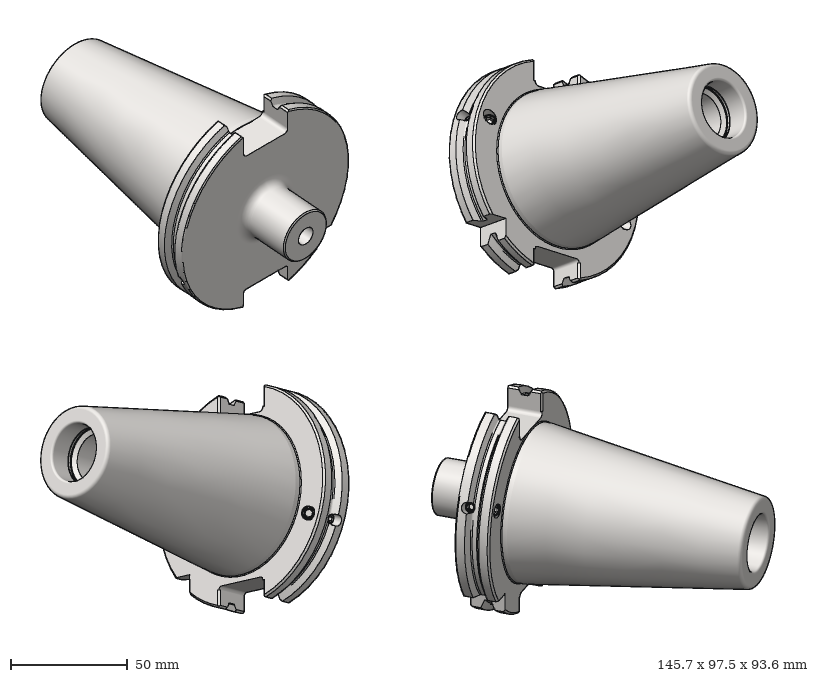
import cadquery as cq
import math

overall_length = 145.7

taper_length = 101.7
gauge_radius = 35.0
taper_rate = 7 / 24
small_end_radius = gauge_radius - taper_length * taper_rate / 2
small_end_fillet = 1.7
collar_length = 2.9
collar_fillet = 0.5

flange_start = taper_length + collar_length
flange_thickness = 15.9
flange_end = flange_start + flange_thickness
flange_diameter = 97.5
flange_radius = flange_diameter / 2
front_edge_chamfer = 0.9
rear_edge_fillet = 0.6
groove_center = taper_length + 11.0
groove_root_radius = 45.6
groove_root_width = 2.9
groove_half_angle = 30.0
groove_root_fillet = 0.7

slot_width = 25.6
slot_floor_top = 35.3
slot_floor_bottom = -37.7
slot_corner_top = 2.0
slot_corner_bottom = 1.5
slot_edge_chamfer = 0.9
drive_slots = (
    (slot_floor_top, slot_corner_top, 1),
    (slot_floor_bottom, slot_corner_bottom, -1),
)
notch_y = 30.0
notch_z = -29.6

shank_radius = 12.5
shank_neck_fillet = 4.2
shank_end_chamfer = 0.6

bore_radius = 12.7
bore_mouth_fillet = 1.0
relief_radius = 13.0
relief_start = 10.2
relief_width = 1.5
thread_radius = 10.5
thread_lead_in_start = 12.1
thread_lead_in_angle = 60.0
thread_depth = 58.3
through_radius = 4.2
drill_tip_angle = 59.0

coolant_plane_angle = 20.0
coolant_hole_sides = (0.0, 180.0)
screw_length = 5.2
screw_chamfer = 0.5
socket_countersink = 0.3
socket_depth = 2.3
hexagon_sides = 6

face_hole_diameter = 6.0
face_hole_radius = face_hole_diameter / 2
face_hole_pitch_radius = 41.8
face_hole_tilt = 40.0
face_socket_width = 3.0
face_screw_sink = face_hole_radius * math.tan(math.radians(face_hole_tilt))

rim_hole_radius = 2.5
rim_hole_x = flange_start + 11.4
rim_socket_width = 2.5
rim_screw_outer_radius = 44.5

clearance = 7.3


def revolve_profile(profile):
    """Turn an outline drawn in the XZ plane around the X axis."""
    return profile.close().revolve(360, (0, 0, 0), (1, 0, 0))


def make_taper():
    taper = revolve_profile(
        cq.Workplane("XZ")
        .lineTo(0, small_end_radius)
        .lineTo(taper_length, gauge_radius)
        .lineTo(flange_start, gauge_radius)
        .lineTo(flange_start, 0)
    )
    return taper.faces("<X").edges().fillet(small_end_fillet)


def make_drive_slot(floor_z, corner_radius, outward):
    """Slot cutter, open outward and rounded along its two floor corners."""
    height = flange_radius + clearance - abs(floor_z)
    cutter = (
        cq.Workplane("XY")
        .box(flange_thickness, slot_width, height)
        .translate((flange_start + flange_thickness / 2, 0, floor_z + outward * height / 2))
    )
    floor_face = "<Z" if outward > 0 else ">Z"
    return cutter.faces(floor_face).edges("|X").fillet(corner_radius)


def make_slot_chamfers(floor_z, corner_radius, outward):
    """Wedges that break the slot walls' edges at the rim and at the front face of the flange."""
    half_width = slot_width / 2
    rim_z = math.sqrt(flange_radius**2 - (half_width + slot_edge_chamfer) ** 2)
    wall_bottom = abs(floor_z) + corner_radius
    reach = 2 * slot_edge_chamfer
    wedges = []
    for side in (1, -1):
        rim_wedge = (
            cq.Workplane("YZ", origin=(flange_start, 0, 0))
            .moveTo(side * half_width, outward * (rim_z - slot_edge_chamfer))
            .lineTo(side * (half_width + reach), outward * (rim_z + slot_edge_chamfer))
            .lineTo(side * half_width, outward * (rim_z + slot_edge_chamfer))
            .close()
            .extrude(flange_thickness)
        )
        face_wedge = (
            cq.Workplane("XY", origin=(0, 0, outward * wall_bottom))
            .moveTo(flange_start, side * half_width)
            .lineTo(flange_start + front_edge_chamfer, side * half_width)
            .lineTo(flange_start, side * (half_width + front_edge_chamfer))
            .close()
            .extrude(outward * (flange_radius - wall_bottom))
        )
        wedges += [rim_wedge, face_wedge]
    return wedges


def make_groove():
    groove_depth = flange_radius - groove_root_radius
    root_half = groove_root_width / 2
    mouth_half = root_half + groove_depth * math.tan(math.radians(groove_half_angle))
    ring = revolve_profile(
        cq.Workplane("XZ")
        .moveTo(groove_center - mouth_half, flange_radius)
        .lineTo(groove_center - root_half, groove_root_radius)
        .lineTo(groove_center + root_half, groove_root_radius)
        .lineTo(groove_center + mouth_half, flange_radius)
    )
    root_edges = cq.selectors.RadiusNthSelector(0)
    return ring.edges(root_edges).fillet(groove_root_fillet)


def make_flange():
    flange = (
        cq.Workplane("YZ", origin=(flange_start, 0, 0))
        .circle(flange_radius)
        .extrude(flange_thickness)
    )
    flange = flange.faces("<X").edges().chamfer(front_edge_chamfer)
    flange = flange.faces(">X").edges().fillet(rear_edge_fillet)
    flange = flange.cut(make_groove())
    for floor_z, corner_radius, outward in drive_slots:
        flange = flange.cut(make_drive_slot(floor_z, corner_radius, outward))
        for wedge in make_slot_chamfers(floor_z, corner_radius, outward):
            flange = flange.cut(wedge)
    notch = (
        cq.Workplane("XY")
        .box(flange_thickness, flange_radius, flange_radius, centered=False)
        .translate((flange_start, notch_y, notch_z - flange_radius))
    )
    return flange.cut(notch)


def make_collar_fillet():
    """Ring that rounds the corner between the collar and the flange face."""
    return revolve_profile(
        cq.Workplane("XZ")
        .moveTo(flange_start, 0)
        .lineTo(flange_start - collar_fillet, 0)
        .lineTo(flange_start - collar_fillet, gauge_radius)
        .radiusArc((flange_start, gauge_radius + collar_fillet), collar_fillet)
    )


def make_shank():
    neck_end = flange_end + shank_neck_fillet
    return revolve_profile(
        cq.Workplane("XZ")
        .moveTo(flange_end, 0)
        .lineTo(flange_end, shank_radius + shank_neck_fillet)
        .radiusArc((neck_end, shank_radius), -shank_neck_fillet)
        .lineTo(overall_length - shank_end_chamfer, shank_radius)
        .lineTo(overall_length, shank_radius - shank_end_chamfer)
        .lineTo(overall_length, 0)
    )


def make_bore():
    relief_end = relief_start + relief_width
    lead_in_length = (bore_radius - thread_radius) / math.tan(math.radians(thread_lead_in_angle))
    tip_length = (thread_radius - through_radius) / math.tan(math.radians(drill_tip_angle))
    return revolve_profile(
        cq.Workplane("XZ")
        .lineTo(0, bore_radius + bore_mouth_fillet)
        .radiusArc((bore_mouth_fillet, bore_radius), -bore_mouth_fillet)
        .lineTo(relief_start, bore_radius)
        .lineTo(relief_start, relief_radius)
        .lineTo(relief_end, relief_radius)
        .lineTo(relief_end, bore_radius)
        .lineTo(thread_lead_in_start, bore_radius)
        .lineTo(thread_lead_in_start + lead_in_length, thread_radius)
        .lineTo(thread_depth, thread_radius)
        .lineTo(thread_depth + tip_length, through_radius)
        .lineTo(overall_length, through_radius)
        .lineTo(overall_length, 0)
    )


def coolant_plane(x, radius, tilt, side):
    """Plane whose normal points out of a coolant hole; tilt is measured from -X towards the rim."""
    plane_angle = math.radians(coolant_plane_angle + side)
    outward = cq.Vector(0, math.cos(plane_angle), math.sin(plane_angle))
    tilt_angle = math.radians(tilt)
    normal = cq.Vector(-math.cos(tilt_angle), 0, 0) + outward * math.sin(tilt_angle)
    tangent = cq.Vector(1, 0, 0).cross(outward)
    return cq.Plane(origin=cq.Vector(x, 0, 0) + outward * radius, xDir=tangent, normal=normal)


def face_screw_plane(side):
    """Outer end of the screw in a slanted hole in the front face of the flange."""
    entry = coolant_plane(flange_start, face_hole_pitch_radius, face_hole_tilt, side)
    return cq.Workplane(entry).workplane(offset=-face_screw_sink).plane


def rim_screw_plane(side):
    """Outer end of the screw in a radial hole in the flange rim."""
    return coolant_plane(rim_hole_x, rim_screw_outer_radius, 90.0, side)


def make_screw_hole(plane, radius):
    """Blind hole that holds a screw and is open outward."""
    return (
        cq.Workplane(plane)
        .workplane(offset=-screw_length)
        .circle(radius)
        .extrude(screw_length + clearance)
    )


def make_set_screw(plane, radius, socket_width):
    """Headless screw with a hexagon socket in its outer end."""
    screw = cq.Workplane(plane).circle(radius).extrude(-screw_length).edges().chamfer(screw_chamfer)
    socket_corner_diameter = socket_width / math.cos(math.pi / hexagon_sides)
    socket = cq.Workplane(plane).polygon(hexagon_sides, socket_corner_diameter).extrude(-socket_depth)
    mouth_radius = socket_corner_diameter / 2 + socket_countersink
    countersink = cq.Workplane(
        cq.Solid.makeCone(mouth_radius, 0, mouth_radius, pnt=plane.origin, dir=-plane.zDir)
    )
    return screw.cut(socket).cut(countersink)


def make_holder():
    holder = make_taper().union(make_collar_fillet()).union(make_flange()).union(make_shank())
    holder = holder.cut(make_bore())
    for side in coolant_hole_sides:
        holder = holder.cut(make_screw_hole(face_screw_plane(side), face_hole_radius))
        holder = holder.cut(make_screw_hole(rim_screw_plane(side), rim_hole_radius))
    return holder


holder = make_holder()
face_screws = [
    make_set_screw(face_screw_plane(side), face_hole_radius, face_socket_width)
    for side in coolant_hole_sides
]
rim_screws = [
    make_set_screw(rim_screw_plane(side), rim_hole_radius, rim_socket_width)
    for side in coolant_hole_sides
]

result = cq.Compound.makeCompound(
    [holder.val()] + [screw.val() for screw in face_screws + rim_screws]
)